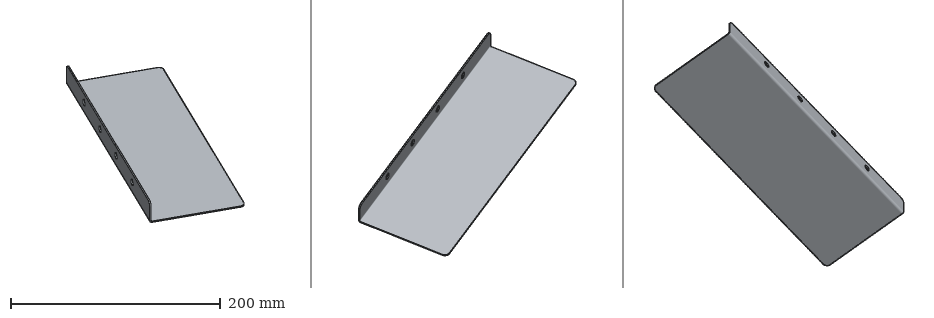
import cadquery as cq

length = 260.0
depth = 96.0
height = 22.5

thickness = 1.5
inner_bend_radius = 1.0
outer_bend_radius = inner_bend_radius + thickness
corner_radius = 5.0

hole_diameter = 6.3
hole_count = 4
hole_spacing = 50.0
hole_drop_from_top = 10.0


def bent_sheet():
    """L-shaped sheet: flat shelf on the bottom, upright flange along the Y = 0 face."""
    sheet = (
        cq.Workplane("YZ")
        .polyline([
            (0, 0),
            (depth, 0),
            (depth, thickness),
            (thickness, thickness),
            (thickness, height),
            (0, height),
        ])
        .close()
        .extrude(length / 2, both=True)
    )
    inner_corner = cq.NearestToPointSelector((0, thickness, thickness))
    outer_corner = cq.NearestToPointSelector((0, 0, 0))
    sheet = sheet.edges("|X").edges(inner_corner).fillet(inner_bend_radius)
    return sheet.edges("|X").edges(outer_corner).fillet(outer_bend_radius)


def round_free_corners(sheet):
    """Round the two rear corners of the shelf and the two top corners of the flange."""
    sheet = sheet.faces(">Y").edges("|Z").fillet(corner_radius)
    return sheet.faces(">Z").edges("|Y").fillet(corner_radius)


def flange_holes():
    """Cylinders that cut the row of round holes through the flange."""
    return (
        cq.Workplane("XZ")
        .center(0, height - hole_drop_from_top)
        .rarray(hole_spacing, 1, hole_count, 1)
        .circle(hole_diameter / 2)
        .extrude(-thickness)
    )


result = round_free_corners(bent_sheet()).cut(flange_holes())